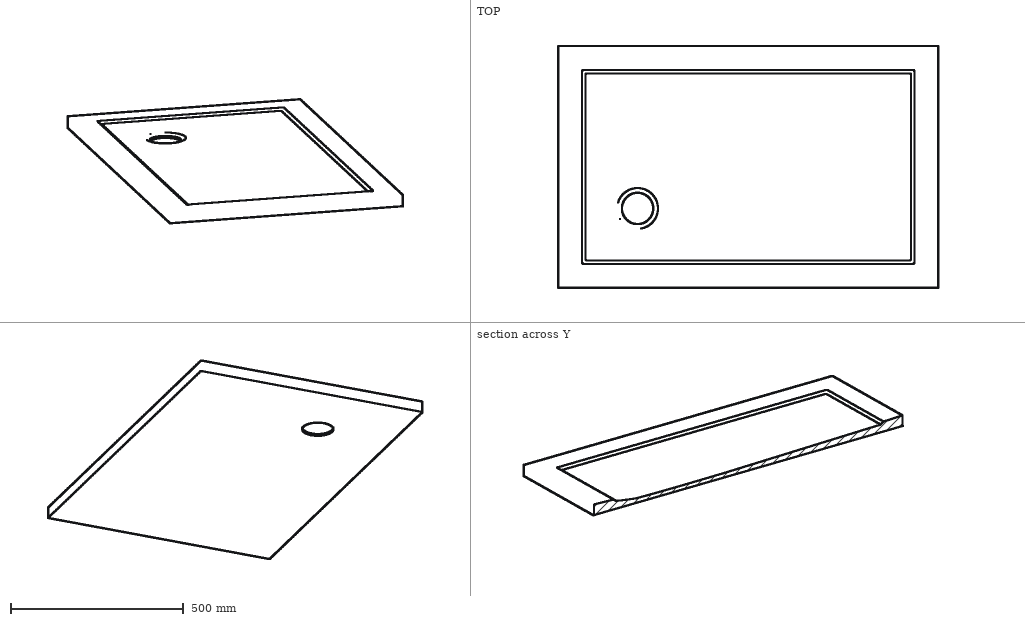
import cadquery as cq
import math

LENGTH = 1099.93
WIDTH = 700.0
HEIGHT = 35.0
EDGE_RADIUS = 3.0

RIM_WIDTH = 70.0
RIM_FALL = 2.0
WALL_WIDTH = 10.0
WALL_DROP = 7.0
RECESS_CORNER_RADIUS = 2.5

DRAIN_X = -320.0
DRAIN_Y = -120.0
SEAT_DIAMETER = 118.0
HOLE_DIAMETER = 90.0
SEAT_SLOPE = 24.0
FLOOR_FALL = 13.5

CREASE_ANGLE = 31.0
CREASE_SPAN = 1.0
SIDE_CREASE_SHARE = 0.395
SIDE_CREASE_DIP = 5.0

RIM_INNER_LENGTH = LENGTH - 2 * RIM_WIDTH
RIM_INNER_WIDTH = WIDTH - 2 * RIM_WIDTH
RIM_INNER_Z = HEIGHT - RIM_FALL
FLOOR_LENGTH = RIM_INNER_LENGTH - 2 * WALL_WIDTH
FLOOR_WIDTH = RIM_INNER_WIDTH - 2 * WALL_WIDTH
FLOOR_EDGE_Z = RIM_INNER_Z - WALL_DROP
SEAT_RADIUS = SEAT_DIAMETER / 2
HOLE_RADIUS = HOLE_DIAMETER / 2
SEAT_Z = FLOOR_EDGE_Z - FLOOR_FALL
HOLE_Z = SEAT_Z - (SEAT_RADIUS - HOLE_RADIUS) * math.tan(math.radians(SEAT_SLOPE))


def tray_blank():
    """Solid slab with rounded upright corners and a rounded top edge."""
    slab = cq.Workplane("XY").box(LENGTH, WIDTH, HEIGHT, centered=(True, True, False))
    return slab.edges("|Z or >Z").fillet(EDGE_RADIUS)


def arc_point(center_x, center_y, radius, angle, z):
    """Point on a level circle; the angle is in degrees from +X."""
    turn = math.radians(angle)
    return cq.Vector(center_x + radius * math.cos(turn), center_y + radius * math.sin(turn), z)


def level_arc(center_x, center_y, radius, start, end, z):
    """Level arc running anticlockwise between two angles."""
    stops = (start, (start + end) / 2, end)
    return cq.Edge.makeThreePointArc(*[arc_point(center_x, center_y, radius, a, z) for a in stops])


def recess_outline(length, width, z):
    """Rounded rectangle split on its two short sides, running anticlockwise from the right-hand split."""
    x = length / 2
    y = width / 2
    radius = RECESS_CORNER_RADIUS
    split_y = width * SIDE_CREASE_SHARE - y
    right_split = cq.Vector(x, split_y, z)
    left_split = cq.Vector(-x, split_y, z)
    back_right, back_left, front_left, front_right = [
        level_arc(side_x * (x - radius), side_y * (y - radius), radius, start, start + 90, z)
        for side_x, side_y, start in [(1, 1, 0), (-1, 1, 90), (-1, -1, 180), (1, -1, 270)]
    ]
    line = cq.Edge.makeLine
    edges = [
        line(right_split, back_right.startPoint()),
        back_right,
        line(back_right.endPoint(), back_left.startPoint()),
        back_left,
        line(back_left.endPoint(), left_split),
        line(left_split, front_left.startPoint()),
        front_left,
        line(front_left.endPoint(), front_right.startPoint()),
        front_right,
        line(front_right.endPoint(), right_split),
    ]
    return cq.Wire.assembleEdges(edges)


def crease_sides(angle):
    """Angles of the two sides of a corner crease where it meets the seat."""
    return angle - CREASE_SPAN / 2, angle + CREASE_SPAN / 2


def seat_outline():
    """Upper edge of the drain seat, split where the floor creases arrive."""
    stops = [
        -SIDE_CREASE_DIP,
        *crease_sides(CREASE_ANGLE),
        *crease_sides(180 - CREASE_ANGLE),
        180 + SIDE_CREASE_DIP,
        *crease_sides(180 + CREASE_ANGLE),
        *crease_sides(360 - CREASE_ANGLE),
        360 - SIDE_CREASE_DIP,
    ]
    arcs = [
        level_arc(DRAIN_X, DRAIN_Y, SEAT_RADIUS, start, end, SEAT_Z)
        for start, end in zip(stops[:-1], stops[1:])
    ]
    return cq.Wire.assembleEdges(arcs)


def drain():
    """Conical seat running into a through hole."""
    profile = [(0, 0), (HOLE_RADIUS, 0), (HOLE_RADIUS, HOLE_Z), (SEAT_RADIUS, SEAT_Z), (0, SEAT_Z)]
    return (
        cq.Workplane("XZ")
        .polyline(profile)
        .close()
        .revolve(360, (0, 0, 0), (0, 1, 0))
        .translate((DRAIN_X, DRAIN_Y, 0))
    )


def ruled_recess(lower, upper):
    """Solid spanned by straight lines between two outlines."""
    return cq.Solid.makeLoft([lower, upper], True)


rim_outer = recess_outline(LENGTH - 2 * EDGE_RADIUS, WIDTH - 2 * EDGE_RADIUS, HEIGHT)
rim_inner = recess_outline(RIM_INNER_LENGTH, RIM_INNER_WIDTH, RIM_INNER_Z)
floor_edge = recess_outline(FLOOR_LENGTH, FLOOR_WIDTH, FLOOR_EDGE_Z)

result = (
    tray_blank()
    .cut(ruled_recess(rim_inner, rim_outer))
    .cut(ruled_recess(floor_edge, rim_inner))
    .cut(ruled_recess(seat_outline(), floor_edge))
    .cut(drain())
)